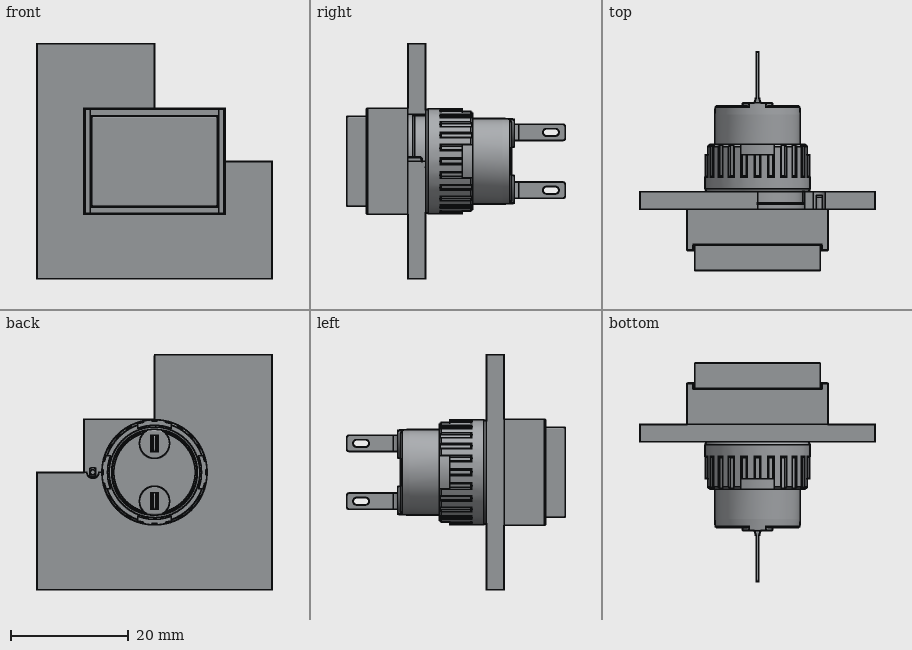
import cadquery as cq
import math


panel_size = 40.0
panel_thickness = 3.0
panel_hole_diameter = 16.05
key_hole_diameter = 2.05
key_offset = 10.5

bezel_width = 24.0
bezel_height = 18.1
bezel_depth = 7.1
rim_depth = 0.95
bezel_chamfer = 0.2
barrel_diameter = 15.4
barrel_foot_diameter = 16.0
barrel_foot_length = 0.85
barrel_foot_chamfer = (barrel_foot_diameter - barrel_diameter) / 2
key_width = 1.0
key_diameter = 1.6
key_length = 2.4
key_chamfer = 0.35

button_width = 21.4
button_height = 15.3
button_front = -10.45
button_fillet = 0.3
pocket_width = 21.9
pocket_height = 15.55
pocket_depth = 1.6

nut_diameter = 17.9
nut_front_diameter = 17.45
nut_front_chamfer = 0.5
nut_bore_mouth_diameter = 16.0
nut_rear = 11.05
nut_rear_chamfer = 0.4
recess_diameter = 16.0
recess_width = 5.7
recess_count = 4
recess_start = 9.25
grip_slot_count = 24
grip_slot_depth = 0.25
grip_slot_floor_width = 0.7
grip_slot_start = 5.7

body_diameter = 14.6
body_taper_start = 16.1
body_rear = 17.6
body_taper = 4.0
body_chamfer = 0.3
boss_diameter = 5.1
boss_rear = 18.1
boss_fillet = 0.2

terminal_offset = 4.9
terminal_rear = 26.75
blade_thickness = 0.5
blade_width = 2.8
blade_corner_radius = 0.5
collar_rear = 18.85
collar_hollow = 0.1
collar_rear_thickness = 0.7
collar_base_thickness = 1.3
eyelet_length = 2.7
eyelet_width = 1.2
eyelet_end_distance = 1.1

terminal_sides = (1, -1)


def box(x_range, y_range, z_range):
    """Axis-aligned box given by its limits along X, Y and Z."""
    limits = (x_range, y_range, z_range)
    size = [high - low for low, high in limits]
    corner = cq.Vector(*[low for low, high in limits])
    return cq.Workplane("XY").box(*size, centered=False).translate(corner)


def centered_box(width, y_range, height):
    """Box centred on the button axis."""
    return box((-width / 2, width / 2), y_range, (-height / 2, height / 2))


def turned(profile):
    """Solid of revolution about Y from a list of (radius, y) points."""
    return cq.Workplane("XY").polyline(profile).close().revolve(360, (0, 0, 0), (0, 1, 0))


def cylinder(diameter, y_range, x=0.0, z=0.0):
    """Cylinder parallel to Y."""
    start, end = y_range
    base = cq.Workplane("XZ", origin=(x, start, z))
    return base.circle(diameter / 2).extrude(start - end)


def around_axis(cutter, count):
    """Copies of a cutter, evenly spaced around the Y axis."""
    return [cutter.rotate((0, 0, 0), (0, 1, 0), i * 360 / count).val() for i in range(count)]


def make_panel():
    half = panel_size / 2
    through = (0, panel_thickness)
    plate = centered_box(panel_size, through, panel_size)
    plate = plate.cut(box((0, half), through, (0, half)))
    plate = plate.cut(cylinder(panel_hole_diameter, through))
    return plate.cut(cylinder(key_hole_diameter, through, x=key_offset))


def make_housing():
    channel_floor = rim_depth - bezel_depth
    bezel = centered_box(bezel_width, (-bezel_depth, 0), bezel_height)
    bezel = bezel.cut(centered_box(pocket_width, (-bezel_depth, channel_floor), bezel_height))

    rim_edges = bezel.faces("<Y").edges("<X or >X or <Z or >Z")
    bezel = rim_edges.chamfer(bezel_chamfer)
    floor_edges = bezel.faces(cq.NearestToPointSelector((0, channel_floor, 0))).edges("<Z or >Z")
    bezel = floor_edges.chamfer(bezel_chamfer)

    pocket_floor = channel_floor + pocket_depth
    bezel = bezel.cut(centered_box(pocket_width, (channel_floor, pocket_floor), pocket_height))

    foot_radius = barrel_foot_diameter / 2
    barrel_radius = barrel_diameter / 2
    barrel = turned([
        (0, 0),
        (foot_radius, 0),
        (foot_radius, barrel_foot_length),
        (barrel_radius, barrel_foot_length + barrel_foot_chamfer),
        (barrel_radius, nut_rear),
        (0, nut_rear),
    ])

    key_range = (0, key_length)
    half_key = key_width / 2
    key = cylinder(key_diameter, key_range, x=key_offset).faces(">Y").edges().chamfer(key_chamfer)
    key_sides = (key_offset - half_key, key_offset + half_key)
    key = key.intersect(box(key_sides, key_range, (-key_diameter, key_diameter)))
    return bezel.union(barrel).union(key)


def make_button():
    seat = rim_depth - bezel_depth + pocket_depth
    cap = centered_box(button_width, (button_front, seat), button_height)
    return cap.edges("|Y").fillet(button_fillet).faces("<Y").edges().fillet(button_fillet)


def make_nut():
    outer_radius = nut_diameter / 2
    front_radius = nut_front_diameter / 2
    bore_radius = barrel_diameter / 2
    bore_chamfer = (nut_bore_mouth_diameter - barrel_diameter) / 2
    nut = turned([
        (bore_radius, panel_thickness + bore_chamfer),
        (bore_radius + bore_chamfer, panel_thickness),
        (front_radius, panel_thickness),
        (outer_radius, panel_thickness + nut_front_chamfer),
        (outer_radius, nut_rear - nut_rear_chamfer),
        (outer_radius - nut_rear_chamfer, nut_rear),
        (bore_radius, nut_rear),
    ])

    recess_range = (recess_start, nut_rear)
    half_recess = recess_width / 2
    recess = box((-half_recess, half_recess), recess_range, (0, nut_diameter))
    recess = recess.cut(cylinder(recess_diameter, recess_range))
    recesses = around_axis(recess, recess_count)

    cutter_height = 2 * grip_slot_depth
    floor_length = nut_rear - grip_slot_start + 2 * cutter_height
    slot = (
        cq.Workplane("XY", origin=(0, grip_slot_start + floor_length / 2, outer_radius - grip_slot_depth))
        .rect(grip_slot_floor_width, floor_length)
        .workplane(offset=cutter_height)
        .rect(grip_slot_floor_width + 2 * cutter_height, floor_length + 2 * cutter_height)
        .loft()
    )
    slots = around_axis(slot, grip_slot_count)
    return cq.Workplane(nut.val().cut(*recesses, *slots))


def tapered_drum(rear):
    """Body drum up to the given rear plane, tapering behind body_taper_start."""
    radius = body_diameter / 2
    rear_radius = radius - (rear - body_taper_start) * math.tan(math.radians(body_taper))
    return turned([
        (0, nut_rear),
        (radius, nut_rear),
        (radius, body_taper_start),
        (rear_radius, rear),
        (0, rear),
    ])


def make_switch_body():
    body = tapered_drum(body_rear).faces(">Y").edges().chamfer(body_chamfer)
    envelope = tapered_drum(boss_rear).faces(">Y").edges().fillet(boss_fillet)
    for side in terminal_sides:
        boss = cylinder(boss_diameter, (body_taper_start, boss_rear), z=side * terminal_offset)
        boss = boss.faces(">Y").edges().fillet(boss_fillet)
        body = body.union(boss.intersect(envelope))
    return body


def make_terminal(side):
    z = side * terminal_offset
    half_thickness = blade_thickness / 2
    half_width = blade_width / 2
    blade = box(
        (-half_thickness, half_thickness),
        (boss_rear, terminal_rear),
        (z - half_width, z + half_width),
    )
    blade = blade.faces(">Y").edges("|X").fillet(blade_corner_radius)

    eyelet_y = terminal_rear - eyelet_end_distance - eyelet_length / 2
    eyelet = (
        cq.Workplane("YZ", origin=(-half_thickness, eyelet_y, z))
        .slot2D(eyelet_length, eyelet_width)
        .extrude(blade_thickness)
    )

    half_base = collar_base_thickness / 2
    half_rear = collar_rear_thickness / 2
    collar = (
        cq.Workplane("XY", origin=(0, 0, z - half_width))
        .moveTo(-half_base, boss_rear)
        .sagittaArc((-half_rear, collar_rear), -collar_hollow)
        .lineTo(half_rear, collar_rear)
        .sagittaArc((half_base, boss_rear), -collar_hollow)
        .close()
        .extrude(blade_width)
    )
    return blade.cut(eyelet).union(collar)


panel = make_panel()
housing = make_housing()
button = make_button()
nut = make_nut()
switch_body = make_switch_body()
terminals = [make_terminal(side) for side in terminal_sides]

result = cq.Compound.makeCompound([
    panel.val(),
    housing.val(),
    button.val(),
    nut.val(),
    switch_body.val(),
    *[terminal.val() for terminal in terminals],
])